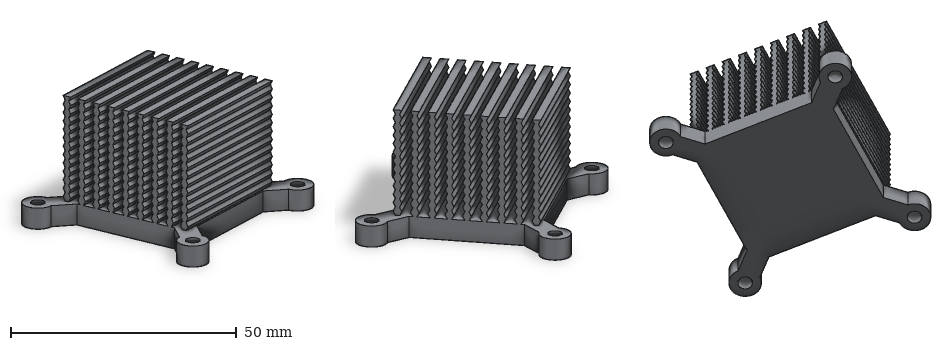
import cadquery as cq
import math

overall_width = 48.6
overall_height = 30.0
base_height = 5.0
body_width = 33.35

lug_radius = 3.6
hole_radius = 1.6
lug_spacing = overall_width - 2 * lug_radius
arm_width = 5.15

fin_count = 9
fin_width = body_width / (2 * fin_count - 1)
fin_pitch = 2 * fin_width
fin_height = overall_height - base_height
groove_depth = 0.5
flank_count = 25
flank_height = fin_height / flank_count


def make_base():
    """Square plate with two crossed diagonal arms that end in drilled lugs."""
    base = cq.Workplane("XY").rect(body_width, body_width).extrude(base_height)
    arm_length = lug_spacing * math.sqrt(2)
    for angle in (45, -45):
        arm = cq.Workplane("XY").rect(arm_length, arm_width).extrude(base_height)
        base = base.union(arm.rotate((0, 0, 0), (0, 0, 1), angle))

    lug_centres = cq.Workplane("XY").rect(lug_spacing, lug_spacing, forConstruction=True).vertices()
    lugs = lug_centres.circle(lug_radius).extrude(base_height)
    holes = lug_centres.circle(hole_radius).extrude(base_height)
    return base.union(lugs).cut(holes)


def make_fin(centre_x):
    """Upright fin with zigzag sides, running the full depth of the body along Y."""
    right_side = []
    for level in range(flank_count + 1):
        is_ridge = level % 2 == 1
        half_width = fin_width / 2 if is_ridge else fin_width / 2 - groove_depth
        right_side.append((half_width, base_height + level * flank_height))
    left_side = [(-x, z) for x, z in reversed(right_side)]
    fin = cq.Workplane("XZ").polyline(right_side + left_side).close().extrude(body_width / 2, both=True)
    return fin.translate((centre_x, 0, 0))


result = make_base()
for index in range(fin_count):
    result = result.union(make_fin((index - (fin_count - 1) / 2) * fin_pitch))